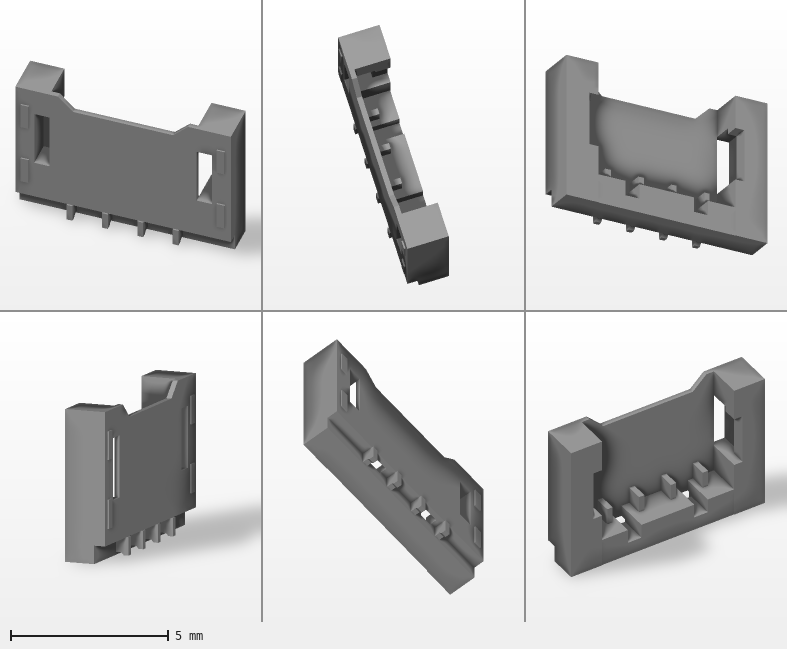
import cadquery as cq

LENGTH = 7.3
DEPTH = 1.43
HEIGHT = 4.95
STANDOFF = 0.05

SIDE_WALL = 1.16
PLATE_THICKNESS = 0.175
SILL_HEIGHT = 1.0
SILL_SETBACK = 0.015
PLATE_BACK = STANDOFF + PLATE_THICKNESS
CAVITY_LENGTH = LENGTH - 2 * SIDE_WALL

NOTCH_TOP_START = 1.445
NOTCH_FLOOR_START = 1.96
NOTCH_DEPTH = 0.49

RELIEF_HEIGHT = 0.6
RELIEF_BACK = 0.43

WINDOW_BOTTOM = 1.985
WINDOW_WIDTH = 0.52
WINDOW_HEIGHT = 2.015
LIP = 0.2
LIP_THICKNESS = 0.505

GROOVE_WIDTH = 0.51
GROOVE_FLOOR = 0.49
GROOVE_SPACING = 2.5

PAD_EDGE = 0.2
PAD_WIDTH = 0.27
UPPER_PAD_BOTTOM = 3.37
UPPER_PAD_HEIGHT = 0.92
LOWER_PAD_BOTTOM = 1.14
LOWER_PAD_HEIGHT = 0.94

CONTACT_COUNT = 4
CONTACT_PITCH = 1.2
CONTACT_WIDTH = 0.2
CONTACT_BACK = 0.81
CONTACT_RISE = 0.6
FOOT_DEPTH = 0.16
TAIL_CLEARANCE = 0.095
TAIL_SLOPE_DEPTH = 0.08


def box(x, y, z, length, depth, height):
    """Box whose lowest corner is at (x, y, z)."""
    return cq.Workplane("XY").box(length, depth, height, centered=False).translate((x, y, z))


def mirrored_pair(solid):
    """The solid together with its mirror image about the middle of the length."""
    return solid.union(solid.mirror("YZ", (LENGTH / 2, 0, 0)))


def housing():
    body = box(0, STANDOFF, 0, LENGTH, DEPTH - STANDOFF, HEIGHT)
    cavity = box(SIDE_WALL, PLATE_BACK, SILL_HEIGHT, CAVITY_LENGTH, DEPTH, HEIGHT)
    setback = box(SIDE_WALL, DEPTH - SILL_SETBACK, 0, CAVITY_LENGTH, SILL_SETBACK, HEIGHT)
    relief = box(0, 0, 0, LENGTH, RELIEF_BACK, RELIEF_HEIGHT)
    return body.cut(cavity).cut(setback).cut(relief)


def plate_notch():
    return (
        cq.Workplane("XZ")
        .polyline([
            (NOTCH_TOP_START, HEIGHT),
            (NOTCH_FLOOR_START, HEIGHT - NOTCH_DEPTH),
            (LENGTH - NOTCH_FLOOR_START, HEIGHT - NOTCH_DEPTH),
            (LENGTH - NOTCH_TOP_START, HEIGHT),
        ])
        .close()
        .extrude(-DEPTH)
    )


def latch_windows():
    left = SIDE_WALL - WINDOW_WIDTH
    pocket = box(left, 0, WINDOW_BOTTOM, WINDOW_WIDTH, DEPTH - LIP_THICKNESS, WINDOW_HEIGHT)
    opening = box(left + LIP, 0, WINDOW_BOTTOM, WINDOW_WIDTH - LIP, DEPTH, WINDOW_HEIGHT - LIP)
    return mirrored_pair(pocket.union(opening))


def sill_grooves():
    left = (LENGTH - GROOVE_SPACING - GROOVE_WIDTH) / 2
    return mirrored_pair(box(left, PLATE_BACK, GROOVE_FLOOR, GROOVE_WIDTH, DEPTH, SILL_HEIGHT))


def solder_pads():
    upper = box(PAD_EDGE, 0, UPPER_PAD_BOTTOM, PAD_WIDTH, STANDOFF, UPPER_PAD_HEIGHT)
    lower = box(PAD_EDGE, 0, LOWER_PAD_BOTTOM, PAD_WIDTH, STANDOFF, LOWER_PAD_HEIGHT)
    return mirrored_pair(upper.union(lower))


def contact(center_x):
    """Tail in the lower relief and a blade standing in the cavity behind the plate."""
    left = center_x - CONTACT_WIDTH / 2
    tail = (
        cq.Workplane("YZ", origin=(left, 0, 0))
        .polyline([
            (0, 0),
            (FOOT_DEPTH, 0),
            (FOOT_DEPTH + TAIL_SLOPE_DEPTH, TAIL_CLEARANCE),
            (RELIEF_BACK, TAIL_CLEARANCE),
            (RELIEF_BACK, RELIEF_HEIGHT),
            (0, RELIEF_HEIGHT),
        ])
        .close()
        .extrude(CONTACT_WIDTH)
    )
    blade_depth = CONTACT_BACK - PLATE_BACK
    blade = box(left, PLATE_BACK, SILL_HEIGHT, CONTACT_WIDTH, blade_depth, CONTACT_RISE)
    return tail.union(blade)


result = housing().cut(plate_notch()).cut(latch_windows()).cut(sill_grooves()).union(solder_pads())
for index in range(CONTACT_COUNT):
    offset = (index - (CONTACT_COUNT - 1) / 2) * CONTACT_PITCH
    result = result.union(contact(LENGTH / 2 + offset))